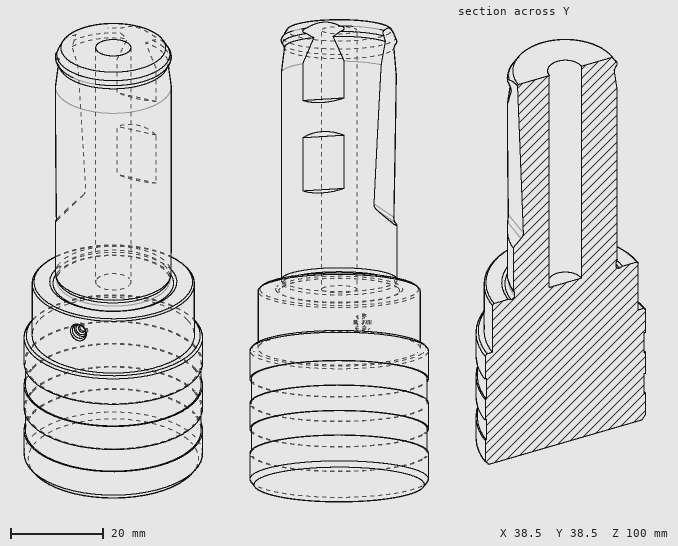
import cadquery as cq
import math

total_height = 100.0
sleeve_top = 30.0
collar_top = 43.0
neck_bottom = 90.6
bead_bottom = 96.2
bead_lower_edge = 97.2
bead_middle = 97.9
bead_upper_edge = 98.4

sleeve_diameter = 38.5
sleeve_radius = sleeve_diameter / 2
sleeve_top_chamfer = 0.5
bottom_chamfer_width = 0.9
bottom_chamfer_height = 1.2
groove_depth = 0.3
groove_width = 5.4
groove_bottoms = (6.9, 17.9)

collar_radius = 17.5
collar_chamfer = 0.4

shank_radius = 12.5
undercut_depth = 0.3
undercut_top = 45.1
undercut_taper_height = 0.8
undercut_fillet = 0.8
undercut_floor = collar_top - undercut_depth
undercut_rim_radius = 13.7

neck_radius = 11.8
neck_sag = 0.05
bead_edge_radius = 12.2
end_face_radius = 11.3

incline_angle = 2.0
incline_end_distance = 11.5
incline_foot = 58.9
incline_fillet = 1.8

flat_distance = 11.6
lower_flat_bottom = 61.7
lower_flat_top = 75.2
upper_flat_bottom = 81.6

bore_radius = 3.8
bore_depth = total_height - collar_top

port_height = 39.0
port_radius = 1.6
port_rim_radius = 2.0
port_depth = 1.4
socket_rim_radius = 1.2
socket_radius = 0.8
socket_depth = 1.0

clearance = 5.0


def turned_body():
    """Half profile in the XZ plane, revolved about Z."""
    undercut_radius = shank_radius - undercut_depth
    floor_radius = undercut_radius + undercut_fillet
    fillet_mid = undercut_fillet * (1 - math.sqrt(0.5))
    neck_mid_radius = (shank_radius + neck_radius) / 2 - neck_sag
    neck_mid_height = (neck_bottom + bead_bottom) / 2
    profile = (
        cq.Workplane("XZ")
        .lineTo(sleeve_radius - bottom_chamfer_width, 0)
        .lineTo(sleeve_radius, bottom_chamfer_height)
        .lineTo(sleeve_radius, sleeve_top - sleeve_top_chamfer)
        .lineTo(sleeve_radius - sleeve_top_chamfer, sleeve_top)
        .lineTo(collar_radius, sleeve_top)
        .lineTo(collar_radius, collar_top - collar_chamfer)
        .lineTo(collar_radius - collar_chamfer, collar_top)
        .lineTo(undercut_rim_radius, collar_top)
        .lineTo(floor_radius, undercut_floor)
        .threePointArc(
            (undercut_radius + fillet_mid, undercut_floor + fillet_mid),
            (undercut_radius, undercut_floor + undercut_fillet),
        )
        .lineTo(undercut_radius, undercut_top - undercut_taper_height)
        .lineTo(shank_radius, undercut_top)
        .lineTo(shank_radius, neck_bottom)
        .threePointArc((neck_mid_radius, neck_mid_height), (neck_radius, bead_bottom))
        .lineTo(bead_edge_radius, bead_lower_edge)
        .threePointArc((shank_radius, bead_middle), (bead_edge_radius, bead_upper_edge))
        .lineTo(end_face_radius, total_height)
        .lineTo(0, total_height)
        .close()
    )
    return profile.revolve(360, (0, 0), (0, 1))


def sleeve_groove(bottom):
    outer = sleeve_radius + clearance
    inner = sleeve_radius - groove_depth
    return cq.Workplane("XY").workplane(offset=bottom).circle(outer).circle(inner).extrude(groove_width)


def inclined_flat_cutter():
    """Flat that deepens downward and runs out through a 45 degree ramp."""
    slope = math.tan(math.radians(incline_angle))
    foot_distance = incline_end_distance - slope * (total_height - incline_foot)
    top = total_height + clearance
    outside = shank_radius + clearance
    ramp_end = incline_foot - (outside - foot_distance)
    return (
        cq.Workplane("XZ")
        .moveTo(-foot_distance, incline_foot)
        .lineTo(-(incline_end_distance + slope * clearance), top)
        .lineTo(-outside, top)
        .lineTo(-outside, ramp_end)
        .close()
        .extrude(shank_radius, both=True)
        .edges("|Y and >X")
        .fillet(incline_fillet)
    )


def parallel_flat_cutter(bottom, top, ramp_at_top):
    """Flat facing +Y; bottom and top are where its 45 degree ramps meet the shank."""
    depth = shank_radius - flat_distance
    outside = shank_radius + clearance
    top_ramp = 1 if ramp_at_top else 0
    return (
        cq.Workplane("YZ")
        .moveTo(flat_distance, bottom + depth)
        .lineTo(flat_distance, top - top_ramp * depth)
        .lineTo(outside, top + top_ramp * clearance)
        .lineTo(outside, bottom - clearance)
        .close()
        .extrude(shank_radius, both=True)
    )


def central_bore():
    bore_floor = total_height - bore_depth
    return cq.Workplane("XY").workplane(offset=bore_floor).circle(bore_radius).extrude(bore_depth)


def radial_port():
    """Countersunk hole with a smaller countersunk socket in its floor, revolved about its axis along Y."""
    rim_width = port_rim_radius - port_radius
    floor = -collar_radius + port_depth
    socket_rim_width = socket_rim_radius - socket_radius
    return (
        cq.Workplane("XY", origin=(0, 0, port_height))
        .moveTo(0, -collar_radius - clearance)
        .lineTo(port_rim_radius, -collar_radius - clearance)
        .lineTo(port_rim_radius, -collar_radius)
        .lineTo(port_radius, -collar_radius + rim_width)
        .lineTo(port_radius, floor)
        .lineTo(socket_rim_radius, floor)
        .lineTo(socket_radius, floor + socket_rim_width)
        .lineTo(socket_radius, floor + socket_depth)
        .lineTo(0, floor + socket_depth)
        .close()
        .revolve(360, (0, 0), (0, 1))
    )


result = turned_body()
for groove_bottom in groove_bottoms:
    result = result.cut(sleeve_groove(groove_bottom))
result = result.cut(inclined_flat_cutter())
result = result.cut(parallel_flat_cutter(lower_flat_bottom, lower_flat_top, True))
result = result.cut(parallel_flat_cutter(upper_flat_bottom, total_height, False))
result = result.cut(central_bore())
result = result.cut(radial_port())